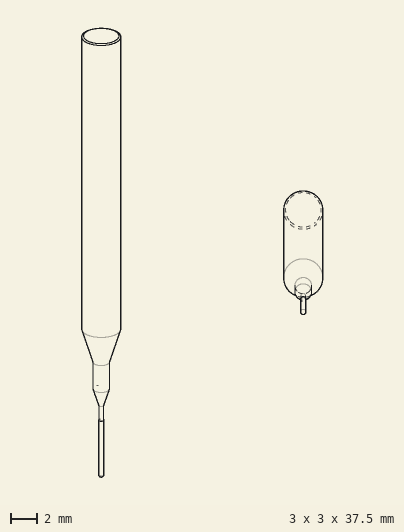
import cadquery as cq

total_length = 37.5
shank_bottom_z = 12.6
neck_top_z = 9.8
neck_bottom_z = 7.5
stem_top_z = 6.08
cutter_top_z = 4.85

shank_diameter = 3.0
neck_diameter = 1.28
cutter_diameter = 0.4
stem_diameter = 0.38

bevel_width = 0.15
bevel_height = 0.08

shank_radius = shank_diameter / 2
neck_radius = neck_diameter / 2
cutter_radius = cutter_diameter / 2
stem_radius = stem_diameter / 2


def make_holder():
    """Shank, tapers, neck and stem, revolved about Z as one body."""
    return (
        cq.Workplane("XZ")
        .moveTo(0, cutter_top_z)
        .lineTo(stem_radius, cutter_top_z)
        .lineTo(stem_radius, stem_top_z)
        .lineTo(neck_radius, neck_bottom_z)
        .lineTo(neck_radius, neck_top_z)
        .lineTo(shank_radius, shank_bottom_z)
        .lineTo(shank_radius, total_length - bevel_height)
        .lineTo(shank_radius - bevel_width, total_length)
        .lineTo(0, total_length)
        .close()
        .revolve(360, (0, 0, 0), (0, 1, 0))
    )


def make_cutter():
    """Slim cylindrical cutter with a hemispherical tip, butted against the stem."""
    return (
        cq.Workplane("XZ")
        .moveTo(0, 0)
        .radiusArc((cutter_radius, cutter_radius), -cutter_radius)
        .lineTo(cutter_radius, cutter_top_z)
        .lineTo(0, cutter_top_z)
        .close()
        .revolve(360, (0, 0, 0), (0, 1, 0))
    )


holder = make_holder()
cutter = make_cutter()

result = cq.Compound.makeCompound([holder.val(), cutter.val()])